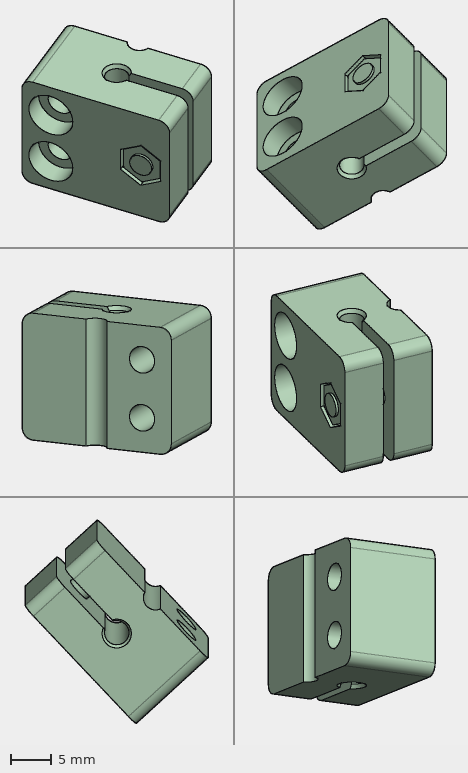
import cadquery as cq

LENGTH = 20.2
DEPTH = 12.1
HEIGHT = 16.2
CORNER_RADIUS = 1.5

MOUNT_X = -6.15
MOUNT_SPACING = 7.4
MOUNT_DIAMETER = 3.4
COUNTERBORE_DIAMETER = 6.0
COUNTERBORE_DEPTH = 2.8

BORE_DIAMETER = 3.0
BORE_Y = DEPTH / 2
COUNTERSINK_WIDTH = 0.3
COUNTERSINK_DEPTH = 0.53
SLOT_WIDTH = 1.45

GROOVE_DIAMETER = 3.0
GROOVE_CENTER_Y = DEPTH + 0.5

SCREW_X = 6.15
SCREW_DIAMETER = 3.0
NUT_ACROSS_FLATS = 5.0
POCKET_ACROSS_FLATS = 5.5
POCKET_DEPTH = 2.5
NUT_RECESS = 0.35


def cylinder_along_y(x, z, diameter, start, end):
    circle = cq.Workplane("XZ", origin=(x, start, z)).circle(diameter / 2)
    return circle.extrude(start - end)


def hexagon_along_y(across_flats, start, end):
    """Hexagonal prism on the screw axis, with corners pointing up and down."""
    rotated = cq.Workplane("XZ", origin=(SCREW_X, start, 0)).transformed(rotate=(0, 0, 90))
    across_corners = across_flats / 3**0.5 * 2
    return rotated.polygon(6, across_corners).extrude(start - end)


def cylinder_along_z(y, diameter):
    return cq.Workplane("XY", origin=(0, y, 0)).circle(diameter / 2).extrude(HEIGHT / 2, both=True)


def make_block():
    block = cq.Workplane("XY").box(LENGTH, DEPTH, HEIGHT).translate((0, DEPTH / 2, 0))
    return block.edges("|Y").fillet(CORNER_RADIUS)


def cut_mounting_holes(body):
    for z in (-MOUNT_SPACING / 2, MOUNT_SPACING / 2):
        body = body.cut(cylinder_along_y(MOUNT_X, z, MOUNT_DIAMETER, 0, DEPTH))
        body = body.cut(cylinder_along_y(MOUNT_X, z, COUNTERBORE_DIAMETER, 0, COUNTERBORE_DEPTH))
    return body


def cut_clamp(body):
    body = body.cut(cylinder_along_z(BORE_Y, BORE_DIAMETER))
    bore_radius = BORE_DIAMETER / 2
    for side in (-1, 1):
        mouth = cq.Vector(0, BORE_Y, side * HEIGHT / 2)
        inward = cq.Vector(0, 0, -side)
        countersink = cq.Solid.makeCone(
            bore_radius + COUNTERSINK_WIDTH, bore_radius, COUNTERSINK_DEPTH, mouth, inward
        )
        body = body.cut(cq.Workplane(countersink))
    slot = cq.Workplane("XY").box(LENGTH / 2, SLOT_WIDTH, HEIGHT)
    return body.cut(slot.translate((LENGTH / 4, BORE_Y, 0)))


def cut_back_groove(body):
    return body.cut(cylinder_along_z(GROOVE_CENTER_Y, GROOVE_DIAMETER))


def add_screw_and_nut(body):
    body = body.cut(hexagon_along_y(POCKET_ACROSS_FLATS, 0, POCKET_DEPTH))
    body = body.union(hexagon_along_y(NUT_ACROSS_FLATS, NUT_RECESS, POCKET_DEPTH))
    return body.union(cylinder_along_y(SCREW_X, 0, SCREW_DIAMETER, 0, DEPTH))


result = make_block()
result = cut_mounting_holes(result)
result = cut_clamp(result)
result = cut_back_groove(result)
result = add_screw_and_nut(result)